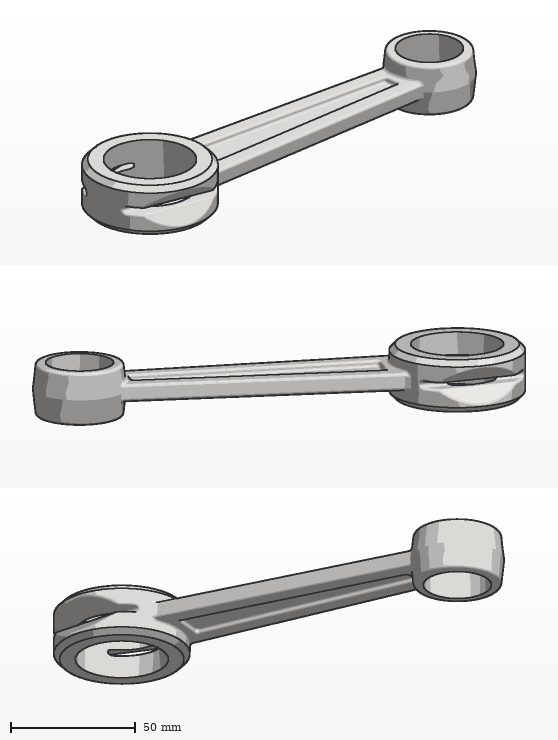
import cadquery as cq
import math

length = 200.3
height = 21.6

big_diameter = 54.7
big_radius = big_diameter / 2
big_bore_radius = 18.6
big_chamfer = 2.5

small_radius = 18.8
small_face_radius = 17.6
small_bore_radius = 13.6
small_edge_round = 1.5
small_center_y = length - big_radius - small_radius

shank_thickness = 7.2
shank_width_big = 32.2
shank_width_small = 21.6
shank_round = 1.5
flare_radius = 8.0
flare_sink = 0.6
big_seam_round = 1.5
small_seam_round = 1.8

flange_width = 7.6
pocket_depth = 2.6
pocket_corner_round = 1.5
pocket_floor_round = 1.2
pocket_rim_round = 1.2
pocket_start_y = 30.2
pocket_end_y = 133.4

groove_tilt = 11.5
slot_height = 2.6
slot_floor_distance = 15.2
slot_mouth_round = 1.2
vee_start_distance = 21.2

pick_margin = 0.2

shank_half_width_big = shank_width_big / 2
shank_half_width_small = shank_width_small / 2
shank_slope = (shank_half_width_big - shank_half_width_small) / small_center_y


def shank_half_width(y):
    return shank_half_width_big - shank_slope * y


def pick_box(low_corner, high_corner):
    """Selector for the edges lying wholly inside a box."""
    return cq.selectors.BoxSelector(low_corner, high_corner, boundingbox=True)


def edges_on_big_rim(shape, selector):
    """Selected edges that lie on the outer cylinder of the big eye."""
    on_rim = []
    for edge in shape.edges(selector).vals():
        middle = edge.positionAt(0.5)
        if abs(math.hypot(middle.x, middle.y) - big_radius) < pick_margin / 10:
            on_rim.append(edge)
    return shape.newObject(on_rim)


def make_groove_cutter():
    """Cutter for one groove on the -X side, running parallel to Y."""
    slot_half = slot_height / 2
    round_start = -slot_floor_distance - slot_half
    vee_half = slot_half + big_radius - vee_start_distance
    return (
        cq.Workplane("XZ")
        .moveTo(round_start, slot_half)
        .lineTo(-vee_start_distance, slot_half)
        .lineTo(-big_radius, vee_half)
        .lineTo(-big_radius, -vee_half)
        .lineTo(-vee_start_distance, -slot_half)
        .lineTo(round_start, -slot_half)
        .threePointArc((-slot_floor_distance, 0), (round_start, slot_half))
        .close()
        .extrude(big_radius, both=True)
    )


def make_big_eye():
    """Chamfered disc with a tilted, rounded-edge groove on each side."""
    disc = cq.Workplane("XY").cylinder(height, big_radius)
    disc = disc.faces("|Z").edges().chamfer(big_chamfer)
    grooved = disc.cut(make_groove_cutter())

    half_z = height / 2 - big_chamfer - pick_margin
    mouth_box = pick_box((-length, -length, -half_z), (0, length, half_z))
    vee_box = pick_box(
        (-vee_start_distance - pick_margin, -length, -half_z),
        (-vee_start_distance + pick_margin, length, half_z),
    )
    mouth = edges_on_big_rim(grooved, mouth_box).add(grooved.edges(vee_box))
    grooved = mouth.fillet(slot_mouth_round)

    grooved = grooved.rotate((0, 0, 0), (0, 0, 1), groove_tilt)
    return grooved.intersect(grooved.mirror("YZ"))


def make_small_eye():
    profile = [
        (0, -height / 2),
        (small_face_radius, -height / 2),
        (small_radius, 0),
        (small_face_radius, height / 2),
        (0, height / 2),
    ]
    eye = cq.Workplane("XZ").polyline(profile).close().revolve(360, (0, 0), (0, 1))
    eye = eye.faces("|Z").edges().fillet(small_edge_round)
    return eye.translate((0, small_center_y, 0))


def flare_points():
    """Start, middle and end of the +X flare arc.

    The arc touches the shank side and a circle sunk slightly inside the big eye.
    """
    sunk_radius = big_radius - flare_sink
    slope_angle = math.atan(shank_slope)
    normal_x, normal_y = math.cos(slope_angle), math.sin(slope_angle)
    across = shank_half_width_big * normal_x + flare_radius
    along = math.sqrt((sunk_radius + flare_radius) ** 2 - across ** 2)
    center_x = across * normal_x - along * normal_y
    center_y = across * normal_y + along * normal_x

    start_angle = math.atan2(-center_y, -center_x)
    end_angle = math.atan2(-normal_y, -normal_x)
    angles = (start_angle, (start_angle + end_angle) / 2, end_angle)
    return [
        (center_x + flare_radius * math.cos(a), center_y + flare_radius * math.sin(a))
        for a in angles
    ]


def mirrored(point):
    return (-point[0], point[1])


def make_shank():
    start, middle, end = flare_points()
    tip = (shank_half_width_small, small_center_y)
    bar = (
        cq.Workplane("XY")
        .workplane(offset=-shank_thickness / 2)
        .moveTo(0, 0)
        .lineTo(*start)
        .threePointArc(middle, end)
        .lineTo(*tip)
        .lineTo(*mirrored(tip))
        .lineTo(*mirrored(end))
        .threePointArc(mirrored(middle), mirrored(start))
        .close()
        .extrude(shank_thickness)
    )
    long_edges_box = pick_box(
        (-length, start[1] - pick_margin, -shank_thickness),
        (length, length, shank_thickness),
    )
    return bar.edges(long_edges_box).edges("not(#Y or |Z)").fillet(shank_round)


def blend_into_big_eye(rod):
    """Fillet the seam between the shank and the big eye."""
    half_z = shank_thickness / 2 + pick_margin
    flare_start_y = flare_points()[0][1]
    seam_box = pick_box(
        (-big_radius, flare_start_y - pick_margin, -half_z),
        (big_radius, big_radius + pick_margin, half_z),
    )
    return edges_on_big_rim(rod, seam_box).fillet(big_seam_round)


def blend_into_small_eye(rod):
    """Fillet the seam between the shank and the small eye."""
    half_z = shank_thickness / 2 + pick_margin
    half_x = shank_half_width(small_center_y - small_radius)
    seam_box = pick_box(
        (-half_x, small_center_y - small_radius, -half_z),
        (half_x, small_center_y, half_z),
    )
    return rod.edges(seam_box).fillet(small_seam_round)


def cut_pocket(rod):
    """Cut the tapered pocket in the upper face, its walls parallel to the shank sides."""
    floor_z = shank_thickness / 2 - pocket_depth
    start_x = shank_half_width(pocket_start_y) - flange_width
    end_x = shank_half_width(pocket_end_y) - flange_width
    outline = [
        (-start_x, pocket_start_y),
        (start_x, pocket_start_y),
        (end_x, pocket_end_y),
        (-end_x, pocket_end_y),
    ]
    cutter = cq.Workplane("XY").workplane(offset=floor_z).polyline(outline).close().extrude(height)
    cutter = cutter.edges("|Z").fillet(pocket_corner_round)
    cutter = cutter.faces("<Z").edges().fillet(pocket_floor_round)
    rod = rod.cut(cutter)

    top_z = shank_thickness / 2
    rim_box = pick_box(
        (-start_x - pick_margin, pocket_start_y - pick_margin, top_z - pick_margin),
        (start_x + pick_margin, pocket_end_y + pick_margin, top_z + pick_margin),
    )
    return rod.edges(rim_box).fillet(pocket_rim_round)


def make_bore(radius, center_y):
    return cq.Workplane("XY").cylinder(height, radius).translate((0, center_y, 0))


upper_half_space = cq.Workplane("XY").box(length * 2, length * 2, height, centered=(True, True, False))
upper_half = make_small_eye().union(make_shank()).intersect(upper_half_space)
upper_half = cut_pocket(blend_into_small_eye(upper_half))
rod = upper_half.union(upper_half.mirror("XY"))
rod = blend_into_big_eye(rod.union(make_big_eye()))

result = rod.cut(make_bore(big_bore_radius, 0)).cut(make_bore(small_bore_radius, small_center_y))